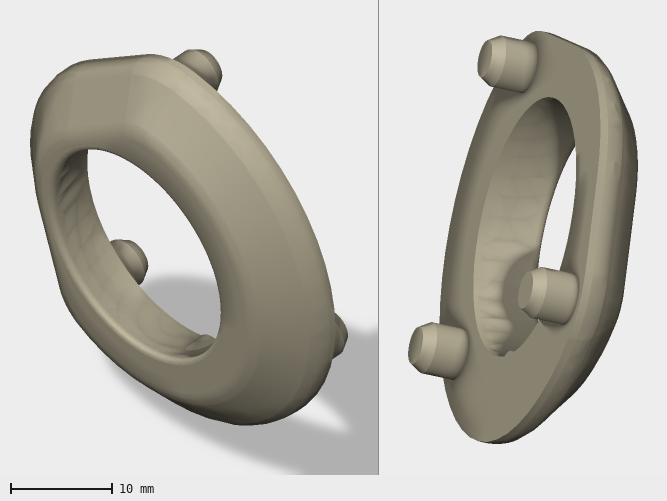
import cadquery as cq
import math

axis_angle = 162.0
ring_diameter = 43.25
ring_radius = ring_diameter / 2
nose_radius = 15.95
nose_offset = 3.4
corner_radius = 9.7
flat_half_angle = 36.0

thickness = 6.4
rim_height = 2.0
slope_taper = 50.0
edge_radius = 2.5

socket_radius = 13.05
lip_round = 0.5

pad_radius = 2.15
pad_offset = 14.8
pad_angle = 126.0
pad_depth = 3.9

pin_diameter = 5.15
pin_length = 4.55
pin_circle_radius = 17.8
pin_spacing = 110.0
pin_tip_length = 1.2
pin_tip_inset = 0.7

select_margin = 0.05


def polar(radius, angle, center=(0.0, 0.0)):
    """Point at a radius and an angle from the nose axis."""
    direction = math.radians(axis_angle + angle)
    return (
        center[0] + radius * math.cos(direction),
        center[1] + radius * math.sin(direction),
    )


def ring_outline():
    flat_distance = nose_radius + nose_offset * math.cos(math.radians(flat_half_angle))
    corner_offset = ring_radius - corner_radius
    corner_turn = math.degrees(math.acos((flat_distance - corner_radius) / corner_offset))
    corner_angle = flat_half_angle + corner_turn
    corner_mid_angle = flat_half_angle + corner_turn / 2

    nose_center = polar(nose_offset, 0)
    upper_corner = polar(corner_offset, -corner_angle)
    lower_corner = polar(corner_offset, corner_angle)
    return (
        cq.Workplane("XZ")
        .moveTo(*polar(ring_radius, -corner_angle))
        .threePointArc(
            polar(corner_radius, -corner_mid_angle, upper_corner),
            polar(corner_radius, -flat_half_angle, upper_corner),
        )
        .lineTo(*polar(nose_radius, -flat_half_angle, nose_center))
        .threePointArc(
            polar(nose_radius, 0, nose_center),
            polar(nose_radius, flat_half_angle, nose_center),
        )
        .lineTo(*polar(corner_radius, flat_half_angle, lower_corner))
        .threePointArc(
            polar(corner_radius, corner_mid_angle, lower_corner),
            polar(ring_radius, corner_angle),
        )
        .threePointArc(polar(ring_radius, 180), polar(ring_radius, -corner_angle))
        .close()
    )


def ring_body():
    rim = ring_outline().extrude(rim_height)
    slope = (
        ring_outline()
        .extrude(thickness - rim_height, taper=slope_taper)
        .translate((0, -rim_height, 0))
    )
    body = rim.union(slope)
    rim_edges = cq.selectors.BoxSelector(
        (-2 * ring_radius, -rim_height - select_margin, -2 * ring_radius),
        (2 * ring_radius, -rim_height + select_margin, 2 * ring_radius),
    )
    body = body.edges(rim_edges).edges("not |Y").fillet(edge_radius)
    return body.faces("<Y").edges().fillet(edge_radius)


def cut_socket(body):
    body = body.cut(cq.Workplane().sphere(socket_radius))
    lip_radius = math.sqrt(socket_radius**2 - thickness**2)
    lip_edge = cq.selectors.BoxSelector(
        (-lip_radius, -thickness - select_margin, -lip_radius),
        (lip_radius, -thickness + select_margin, lip_radius),
    )
    return body.edges(lip_edge).fillet(lip_round)


def socket_pad():
    x, z = polar(pad_offset, pad_angle)
    return cq.Workplane("XZ").center(x, z).circle(pad_radius).extrude(pad_depth)


def pin(angle):
    x, z = polar(pin_circle_radius, angle)
    radius = pin_diameter / 2
    shaft = cq.Workplane("XZ").center(x, z).circle(radius).extrude(-pin_length)
    return shaft.faces(">Y").chamfer(pin_tip_length, pin_tip_inset)


result = cut_socket(ring_body()).union(socket_pad())
for step in (-1, 0, 1):
    result = result.union(pin(180 + step * pin_spacing))